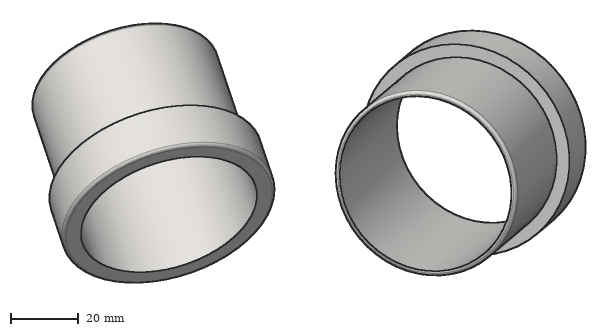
import cadquery as cq

total_length = 50.0
flange_length = 15.0
bore_diameter = 53.75
sleeve_diameter = 57.0
flange_diameter = 65.0
edge_radius = 1.0

sleeve_length = total_length - flange_length


def cylinder_along_x(diameter, start_x, length):
    """Solid cylinder on the X axis, running from start_x towards +X."""
    return cq.Workplane("YZ", origin=(start_x, 0, 0)).circle(diameter / 2).extrude(length)


sleeve = cylinder_along_x(sleeve_diameter, 0, total_length)
sleeve = sleeve.faces("<X").edges().fillet(edge_radius)

flange = cylinder_along_x(flange_diameter, sleeve_length, flange_length)
flange = flange.faces(">X").edges().fillet(edge_radius)

bore = cylinder_along_x(bore_diameter, 0, total_length)

result = sleeve.union(flange).cut(bore)